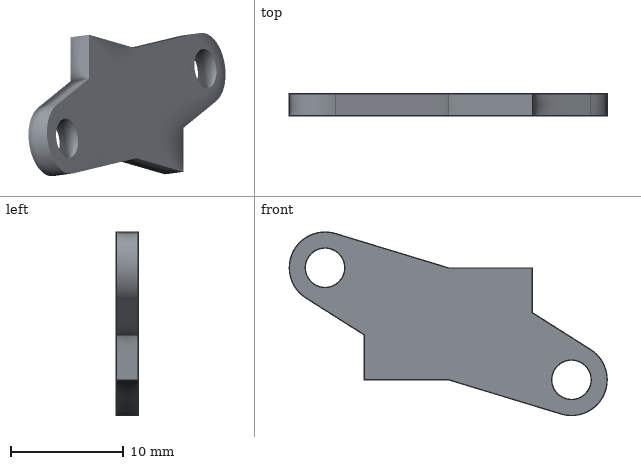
import cadquery as cq
import math

thickness = 2.0
hole_diameter = 3.5
ear_radius = 3.2
ear_x = 11.0
ear_z = -5.0
body_half_length = 7.5
body_half_height = 5.0
shoulder_z = 1.0


def tangent_point(start, side):
    """Point where a line from start touches the right ear; side is +1 or -1."""
    dx = start[0] - ear_x
    dz = start[1] - ear_z
    half_angle = math.acos(ear_radius / math.hypot(dx, dz))
    angle = math.atan2(dz, dx) + side * half_angle
    return (ear_x + ear_radius * math.cos(angle), ear_z + ear_radius * math.sin(angle))


def half_turn(point):
    return (-point[0], -point[1])


top_middle = (0.0, body_half_height)
top_corner = (body_half_length, body_half_height)
shoulder = (body_half_length, shoulder_z)
bottom_middle = half_turn(top_middle)

ear_upper_tangent = tangent_point(shoulder, -1)
ear_lower_tangent = tangent_point(bottom_middle, 1)

ear_reach = 1 + ear_radius / math.hypot(ear_x, ear_z)
ear_tip = (ear_x * ear_reach, ear_z * ear_reach)


def back_face_plane():
    """Sketch plane on the +Y face, extruding toward -Y, so the plate is centred on Y = 0."""
    return cq.Workplane("XZ", origin=(0, thickness / 2, 0))


def make_plate():
    """Plate with the stepped body and both ears."""
    return (
        back_face_plane()
        .moveTo(*top_middle)
        .lineTo(*top_corner)
        .lineTo(*shoulder)
        .lineTo(*ear_upper_tangent)
        .threePointArc(ear_tip, ear_lower_tangent)
        .lineTo(*bottom_middle)
        .lineTo(*half_turn(top_corner))
        .lineTo(*half_turn(shoulder))
        .lineTo(*half_turn(ear_upper_tangent))
        .threePointArc(half_turn(ear_tip), half_turn(ear_lower_tangent))
        .close()
        .extrude(thickness)
    )


def make_holes():
    """Through holes concentric with the two ears."""
    ear_centre = (ear_x, ear_z)
    return (
        back_face_plane()
        .pushPoints([ear_centre, half_turn(ear_centre)])
        .circle(hole_diameter / 2)
        .extrude(thickness)
    )


result = make_plate().cut(make_holes())